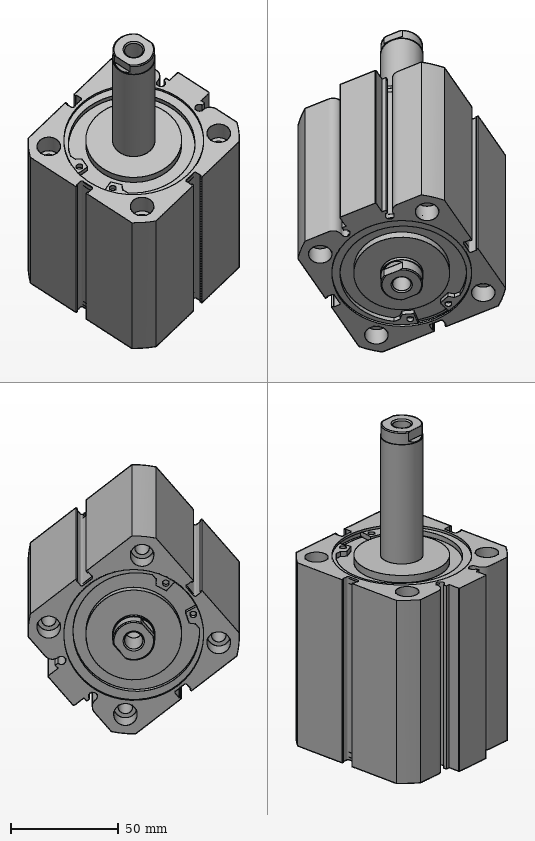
import cadquery as cq
import math


SIDE = 77.5
HALF = SIDE / 2
CORNER_RADIUS = 49.5
LENGTH = 94.9

TOTAL_DEPTH = 83.0
RAIL_HALF_WIDTH = 9.5
RAIL_TOP = TOTAL_DEPTH - HALF
RAIL_EDGE_CHAMFER = 0.3
RAIL_LIP_HEIGHT = 38.0
RAIL_GROOVE_RADIUS = 2.0
RAIL_GROOVE_X = 11.6
RAIL_GROOVE_Y = 34.2

BOLT_SPACING = 56.5
BOLT_DIAMETER = 6.8
BOLT_HEAD_DIAMETER = 11.0
BOLT_HEAD_DEPTH = 10.3

BORE_RADIUS = 32.7
RING_RADIUS = 33.9
RING_THICKNESS = 2.5
RING_RECESS = 1.2

SLOT_WIDTH = 7.0
SLOT_DEPTH = 4.6
SLOT_MOUTH = 6.0
SLOT_LIP = 1.0
SLOT_FLOOR_FILLET = 0.9

RING_INNER_RADIUS = 29.5
RING_INNER_OFFSET = 1.5
LUG_SHOULDER = (14.4, -25.5)
LUG_PEAK = (12.1, -23.5)
LUG_TIP = (7.0, -25.5)
RING_END_X = 8.2
LUG_HOLE = (10.1, -27.7)
LUG_HOLE_DIAMETER = 3.0

COVER_THICKNESS = 13.7
BOSS_RADIUS = 22.4
BOSS_HEIGHT = RING_RECESS + RING_THICKNESS

ROD_DIAMETER = 20.0
ROD_TOP = 68.0
ROD_BOTTOM = 8.0
NECK_DIAMETER = 19.5
NECK_LENGTH = 6.3
NECK_CHAMFER = 0.5
ACROSS_FLATS = 17.0
FLAT_LENGTH = 4.8
TAP_DIAMETER = 8.5
TAP_MOUTH_DIAMETER = 10.0
TAP_DEPTH = 15.4
DRILL_POINT_ANGLE = 118


def at_bottom(top_feature):
    """Mirror a feature of the top end to the bottom end."""
    middle = LENGTH / 2
    return top_feature.mirror("XY", (0, 0, middle))


def side_slot():
    """T-slot along the -Y side, with rounded floor corners."""
    mouth = (
        cq.Workplane("XY")
        .center(0, SLOT_LIP / 2 - HALF)
        .rect(SLOT_MOUTH, SLOT_LIP)
        .extrude(LENGTH)
    )
    chamber_depth = SLOT_DEPTH - SLOT_LIP
    chamber = (
        cq.Workplane("XY")
        .center(0, SLOT_LIP + chamber_depth / 2 - HALF)
        .rect(SLOT_WIDTH, chamber_depth)
        .extrude(LENGTH)
        .edges("|Z and >Y")
        .fillet(SLOT_FLOOR_FILLET)
    )
    return chamber.union(mouth)


def rail_gap(side):
    """Material removed beside the sensor rail; side is +1 for +X, -1 for -X."""
    groove_outer = RAIL_GROOVE_X + RAIL_GROOVE_RADIUS
    shoulder_radius = HALF - RAIL_GROOVE_Y
    shoulder_x = groove_outer + shoulder_radius
    slant = math.sqrt(0.5)

    def point(x, y):
        return (side * x, y)

    return (
        cq.Workplane("XY")
        .moveTo(*point(RAIL_HALF_WIDTH, RAIL_TOP))
        .lineTo(*point(RAIL_HALF_WIDTH, RAIL_LIP_HEIGHT))
        .lineTo(*point(RAIL_GROOVE_X, RAIL_LIP_HEIGHT))
        .lineTo(*point(RAIL_GROOVE_X, RAIL_GROOVE_Y + RAIL_GROOVE_RADIUS))
        .threePointArc(
            point(
                RAIL_GROOVE_X - RAIL_GROOVE_RADIUS * slant,
                RAIL_GROOVE_Y - RAIL_GROOVE_RADIUS * slant,
            ),
            point(groove_outer, RAIL_GROOVE_Y),
        )
        .threePointArc(
            point(
                shoulder_x - shoulder_radius * slant,
                RAIL_GROOVE_Y + shoulder_radius * slant,
            ),
            point(shoulder_x, HALF),
        )
        .lineTo(*point(shoulder_x, RAIL_TOP))
        .close()
        .extrude(LENGTH)
    )


def bolt_cylinders(diameter, depth):
    """Four cylinders on the bolt pattern, going down from the top end face."""
    return (
        cq.Workplane("XY")
        .workplane(offset=LENGTH - depth)
        .rect(BOLT_SPACING, BOLT_SPACING, forConstruction=True)
        .vertices()
        .circle(diameter / 2)
        .extrude(depth)
    )


def build_housing():
    corner_round = cq.Workplane("XY").circle(CORNER_RADIUS).extrude(LENGTH)
    housing = cq.Workplane("XY").rect(SIDE, SIDE).extrude(LENGTH).intersect(corner_round)

    rail = (
        cq.Workplane("XY")
        .center(0, RAIL_TOP / 2)
        .rect(2 * RAIL_HALF_WIDTH, RAIL_TOP)
        .extrude(LENGTH)
        .edges("|Z and >Y")
        .chamfer(RAIL_EDGE_CHAMFER)
    )
    housing = housing.union(rail)
    for side in (-1, 1):
        housing = housing.cut(rail_gap(side))

    for angle in (-90, 0, 90):
        housing = housing.cut(side_slot().rotate((0, 0, 0), (0, 0, 1), angle))

    housing = housing.cut(cq.Workplane("XY").circle(BORE_RADIUS).extrude(LENGTH))
    ring_groove = (
        cq.Workplane("XY")
        .workplane(offset=LENGTH - RING_RECESS - RING_THICKNESS)
        .circle(RING_RADIUS)
        .extrude(RING_THICKNESS)
    )
    housing = housing.cut(ring_groove).cut(at_bottom(ring_groove))

    bolt_holes = bolt_cylinders(BOLT_DIAMETER, LENGTH)
    bolt_heads = bolt_cylinders(BOLT_HEAD_DIAMETER, BOLT_HEAD_DEPTH)
    return housing.cut(bolt_holes).cut(bolt_heads).cut(at_bottom(bolt_heads))


def build_cover():
    """Top end cover: a disc under the retaining ring with a raised round boss."""
    disc_top = LENGTH - BOSS_HEIGHT
    disc = (
        cq.Workplane("XY")
        .workplane(offset=disc_top - COVER_THICKNESS)
        .circle(BORE_RADIUS)
        .extrude(COVER_THICKNESS)
    )
    boss = cq.Workplane("XY").workplane(offset=disc_top).circle(BOSS_RADIUS).extrude(BOSS_HEIGHT)
    rod_hole = cq.Workplane("XY").circle(ROD_DIAMETER / 2).extrude(LENGTH)
    return disc.union(boss).cut(rod_hole)


def build_ring():
    """Top retaining ring, open toward -Y, with a plier hole in each lug."""
    end_y = -math.sqrt(RING_RADIUS**2 - RING_END_X**2)
    lug_start_y = LUG_SHOULDER[1]
    lug_start_x = math.sqrt(RING_INNER_RADIUS**2 - (lug_start_y + RING_INNER_OFFSET) ** 2)

    def mirrored(point):
        return (-point[0], point[1])

    return (
        cq.Workplane("XY")
        .workplane(offset=LENGTH - RING_RECESS - RING_THICKNESS)
        .moveTo(RING_END_X, end_y)
        .threePointArc((0, RING_RADIUS), (-RING_END_X, end_y))
        .lineTo(*mirrored(LUG_TIP))
        .lineTo(*mirrored(LUG_PEAK))
        .lineTo(*mirrored(LUG_SHOULDER))
        .lineTo(-lug_start_x, lug_start_y)
        .threePointArc((0, RING_INNER_RADIUS - RING_INNER_OFFSET), (lug_start_x, lug_start_y))
        .lineTo(*LUG_SHOULDER)
        .lineTo(*LUG_PEAK)
        .lineTo(*LUG_TIP)
        .close()
        .pushPoints([LUG_HOLE, mirrored(LUG_HOLE)])
        .circle(LUG_HOLE_DIAMETER / 2)
        .extrude(RING_THICKNESS)
    )


def rod_end_cuts():
    """Wrench flats and threaded hole of a rod end whose end face is at Z = 0."""
    flat = ACROSS_FLATS / 2
    outside = ROD_DIAMETER / 2
    flat_cut = (
        cq.Workplane("YZ")
        .moveTo(flat, 0)
        .lineTo(flat, -FLAT_LENGTH)
        .lineTo(outside, -FLAT_LENGTH - (outside - flat))
        .lineTo(outside, 0)
        .close()
        .extrude(outside, both=True)
    )

    tap_radius = TAP_DIAMETER / 2
    mouth_radius = TAP_MOUTH_DIAMETER / 2
    point_depth = tap_radius / math.tan(math.radians(DRILL_POINT_ANGLE / 2))
    tapped_hole = (
        cq.Workplane("XZ")
        .moveTo(0, 0)
        .lineTo(mouth_radius, 0)
        .lineTo(tap_radius, -(mouth_radius - tap_radius))
        .lineTo(tap_radius, -TAP_DEPTH)
        .lineTo(0, -TAP_DEPTH - point_depth)
        .close()
        .revolve(360, (0, 0, 0), (0, 1, 0))
    )
    return tapped_hole.union(flat_cut).union(flat_cut.mirror("XZ"))


def build_rod():
    end_to_end = ROD_BOTTOM + LENGTH + ROD_TOP
    core = (
        cq.Workplane("XY")
        .workplane(offset=-ROD_BOTTOM)
        .circle(NECK_DIAMETER / 2)
        .extrude(end_to_end)
        .faces("<Z or >Z")
        .chamfer(NECK_CHAMFER)
    )
    shank = (
        cq.Workplane("XY")
        .workplane(offset=NECK_LENGTH - ROD_BOTTOM)
        .circle(ROD_DIAMETER / 2)
        .extrude(end_to_end - 2 * NECK_LENGTH)
    )
    top_cuts = rod_end_cuts().translate((0, 0, LENGTH + ROD_TOP))
    bottom_cuts = rod_end_cuts().mirror("XY").translate((0, 0, -ROD_BOTTOM))
    return core.union(shank).cut(top_cuts).cut(bottom_cuts)


housing = build_housing()
rod = build_rod()
top_cover = build_cover()
top_ring = build_ring()
covers = [top_cover, at_bottom(top_cover)]
rings = [top_ring, at_bottom(top_ring)]

bodies = [housing, rod, *covers, *rings]
result = cq.Compound.makeCompound([body.solids().val() for body in bodies])